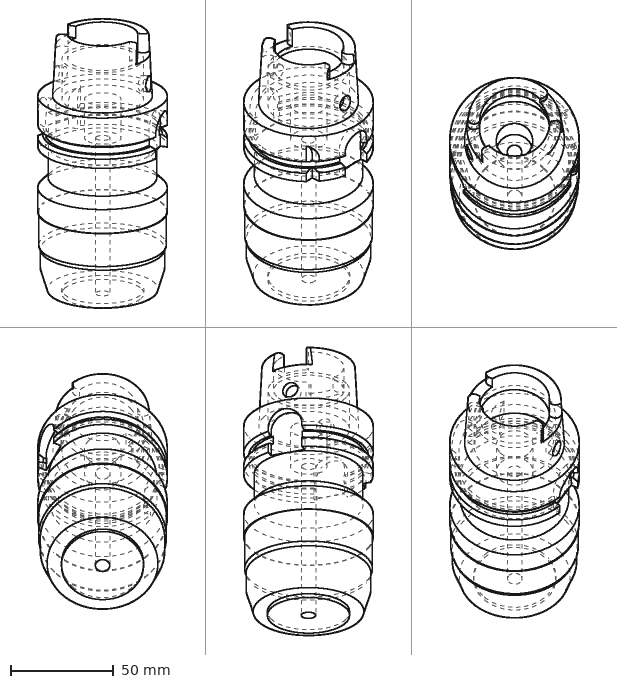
import cadquery as cq

total_length = 134.0
flange_radius = 31.5

nose_radius = 20.0
nose_height = 2.0
front_cone_small_radius = 27.0
front_cone_top = 13.1
front_band_radius = 30.3
front_band_top = 22.9
middle_band_radius = 31.1
middle_band_bottom = 25.0
middle_band_top = 42.2
rear_band_top = 54.7
neck_radius = 26.4
neck_bottom = rear_band_top + flange_radius - neck_radius

flange_bottom = 76.0
flange_top = 102.0
groove_radius = 27.6
groove_mid_height = 84.0
groove_mouth_width = 6.5
groove_floor_width = 3.9
groove_flank_radius = 29.1

shank_root_radius = 24.3
shank_taper = 0.05
shank_tip_fillet = 1.3
shank_tip_radius = shank_root_radius - shank_taper * (total_length - flange_top)

mouth_bore_radius = 17.0
undercut_radius = 19.8
undercut_top = 121.4
bore_floor = 100.5
step_bore_radius = 8.8
step_bore_floor = 80.4
through_bore_radius = 3.5

tip_slot_half_width = 6.3
tip_slot_corner_radius = 3.0
finger_end_x = 20.6
shallow_slot_floor = 128.0
deep_slot_floor = 124.2

radial_hole_radius = 3.9
radial_hole_height = 111.0

keyway_crown = 97.3
narrow_keyway_half_width = 8.0
wide_keyway_half_width = 8.8
keyway_floor_x = 26.5
notch_floor_x = 19.7
notch_inner_y = 20.1
notch_radius = 8.0

cut_margin = 6.7


def cylinder(radius, bottom, top):
    return cq.Workplane("XY").workplane(offset=bottom).circle(radius).extrude(top - bottom)


def turned_body():
    """Solid of revolution with every outside diameter."""
    mouth_half = groove_mouth_width / 2
    floor_half = groove_floor_width / 2
    profile = [
        (0, 0),
        (nose_radius, 0),
        (nose_radius, nose_height),
        (front_cone_small_radius, nose_height),
        (front_band_radius, front_cone_top),
        (front_band_radius, front_band_top),
        (middle_band_radius, middle_band_bottom),
        (middle_band_radius, middle_band_top),
        (flange_radius, middle_band_top),
        (flange_radius, rear_band_top),
        (neck_radius, neck_bottom),
        (neck_radius, flange_bottom),
        (flange_radius, flange_bottom),
        (flange_radius, groove_mid_height - mouth_half),
        (groove_flank_radius, groove_mid_height - floor_half),
        (groove_radius, groove_mid_height - floor_half),
        (groove_radius, groove_mid_height + floor_half),
        (groove_flank_radius, groove_mid_height + floor_half),
        (flange_radius, groove_mid_height + mouth_half),
        (flange_radius, flange_top),
        (shank_root_radius, flange_top),
        (shank_tip_radius, total_length),
        (0, total_length),
    ]
    body = cq.Workplane("XZ").polyline(profile).close().revolve(360, (0, 0, 0), (0, 1, 0))
    return body.faces(">Z").edges().fillet(shank_tip_fillet)


def axial_bores():
    """Stepped bore, undercut behind the mouth of the shank."""
    bores = cylinder(through_bore_radius, 0, total_length)
    bores = bores.union(cylinder(step_bore_radius, step_bore_floor, total_length))
    bores = bores.union(cylinder(undercut_radius, bore_floor, undercut_top))
    return bores.union(cylinder(mouth_bore_radius, bore_floor, total_length))


def tip_slot(side, floor):
    """Cutter for one drive slot; side is -1 or +1 along X, the mouth flares with rounded corners."""
    outer_x = side * (shank_root_radius + cut_margin)
    flare_x = side * finger_end_x
    corner_x = side * (finger_end_x - tip_slot_corner_radius)
    corner_y = tip_slot_half_width + tip_slot_corner_radius
    inset = tip_slot_corner_radius * (1 - 0.5 ** 0.5)
    mid_x = side * (finger_end_x - inset)
    mid_y = tip_slot_half_width + inset
    return (
        cq.Workplane("XY").workplane(offset=floor)
        .moveTo(0, -tip_slot_half_width)
        .lineTo(corner_x, -tip_slot_half_width)
        .threePointArc((mid_x, -mid_y), (flare_x, -corner_y))
        .lineTo(flare_x, -shank_root_radius)
        .lineTo(outer_x, -shank_root_radius)
        .lineTo(outer_x, shank_root_radius)
        .lineTo(flare_x, shank_root_radius)
        .lineTo(flare_x, corner_y)
        .threePointArc((mid_x, mid_y), (corner_x, tip_slot_half_width))
        .lineTo(0, tip_slot_half_width)
        .close()
        .extrude(total_length + cut_margin - floor)
    )


def radial_holes():
    return (
        cq.Workplane("YZ").center(0, radial_hole_height).circle(radial_hole_radius)
        .extrude(shank_root_radius, both=True)
    )


def keyway(side, floor_x, half_width, center_y=0):
    """Cutter for a round-topped keyway, flat floor facing X, open at the flange underside."""
    crown_center = keyway_crown - half_width
    depth = flange_radius + cut_margin - floor_x
    return (
        cq.Workplane("YZ").workplane(offset=side * floor_x)
        .moveTo(center_y - half_width, flange_bottom)
        .lineTo(center_y - half_width, crown_center)
        .threePointArc((center_y, keyway_crown), (center_y + half_width, crown_center))
        .lineTo(center_y + half_width, flange_bottom)
        .close()
        .extrude(side * depth)
    )


result = (
    turned_body()
    .cut(axial_bores())
    .cut(tip_slot(-1, shallow_slot_floor))
    .cut(tip_slot(1, deep_slot_floor))
    .cut(radial_holes())
    .cut(keyway(-1, keyway_floor_x, narrow_keyway_half_width))
    .cut(keyway(1, keyway_floor_x, wide_keyway_half_width))
    .cut(keyway(-1, notch_floor_x, notch_radius, notch_inner_y + notch_radius))
)